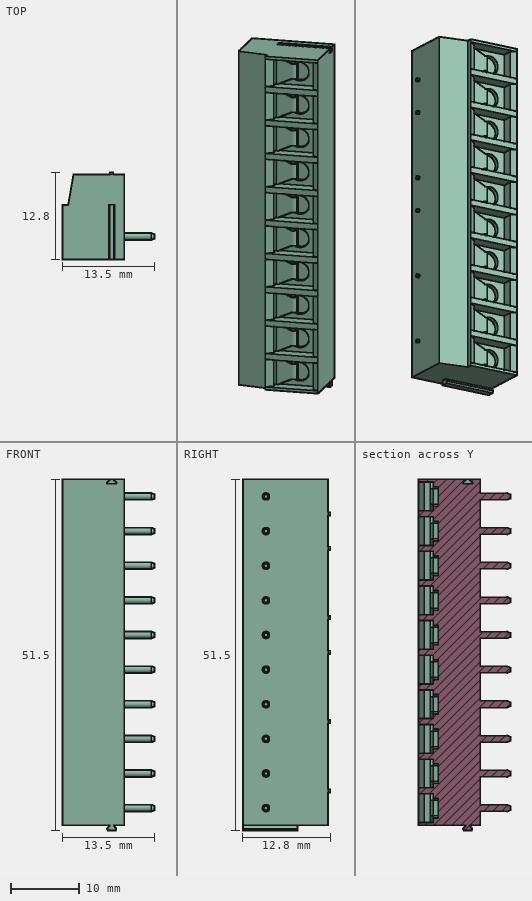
import cadquery as cq
import math

pole_count = 10
body_width = 9.05
body_depth = 12.5
body_height = 50.7
pitch = body_height / pole_count
ledge_y = 8.05
ledge_width = 0.8
slope_run = 0.75

cell_height = 4.15
cell_floor_x = 2.15
cell_bevel_y = 1.1
cell_top_y = ledge_y - cell_bevel_y
cell_front_y = 0.9
cell_front_slope_run = 0.45

hole_y = 3.4
hole_diameter = 2.85
hole_depth = 0.7

guard_thickness = 0.4
guard_face_x = cell_floor_x - guard_thickness
guard_bend_y = 4.45
guard_bend_radius = 0.65
guard_bend_angle = math.radians(70)
guard_tip_width = 2.25

pin_radius = 0.5
pin_end_x = 13.5
pin_tip_length = 0.45
pin_tip_inset = 0.2

dovetail_x = 7.2
rail_height = 0.75
rail_neck_width = 0.55
rail_max_width = 1.4
rail_max_depth = 0.45
rail_end_width = 1.15
groove_depth = 0.65
groove_mouth_width = 0.95
groove_neck_width = 0.6
groove_neck_depth = 0.15
groove_max_width = 1.45
groove_max_depth = 0.5
groove_floor_width = 1.3

nub_walls = (1, 3, 5, 6, 8, 9)
nub_diameter = 0.5
nub_height = 0.3


def make_body():
    """Plain housing, standing along Z, with a sloping upper face behind a ledge."""
    outline = [
        (0, 0),
        (body_width, 0),
        (body_width, body_depth),
        (ledge_width + slope_run, body_depth),
        (ledge_width, ledge_y),
        (0, ledge_y),
    ]
    return cq.Workplane("XY").polyline(outline).close().extrude(body_height)


def make_cell(center_z):
    """Cutter for one entry cell: beveled at its mouth, flat at its floor."""
    profile = [
        (0, ledge_y),
        (ledge_width, cell_top_y),
        (cell_floor_x, cell_top_y),
        (cell_floor_x, cell_front_y),
        (cell_front_slope_run, cell_front_y),
        (0, 0),
    ]
    bottom_z = center_z - cell_height / 2
    return cq.Workplane("XY", origin=(0, 0, bottom_z)).polyline(profile).close().extrude(cell_height)


def make_wire_hole(center_z):
    plane = cq.Workplane("YZ", origin=(cell_floor_x, hole_y, center_z))
    return plane.circle(hole_diameter / 2).extrude(hole_depth)


def make_guard(center_z):
    """Side profile of the tongue, trimmed to its tapering outline."""
    flat_start_y = cell_top_y - guard_thickness

    def bend_point(angle):
        return (
            guard_face_x + guard_bend_radius * (1 - math.cos(angle)),
            guard_bend_y - guard_bend_radius * math.sin(angle),
        )

    tip_x, tip_y = bend_point(guard_bend_angle)
    bend_mid = bend_point(guard_bend_angle / 2)
    foot_x = cell_floor_x + hole_depth
    rounding_mid = (
        cell_floor_x - guard_thickness * math.sqrt(0.5),
        flat_start_y + guard_thickness * math.sqrt(0.5),
    )
    strip = (
        cq.Workplane("XY", origin=(0, 0, center_z - cell_height / 2))
        .moveTo(cell_floor_x, cell_top_y)
        .threePointArc(rounding_mid, (guard_face_x, flat_start_y))
        .lineTo(guard_face_x, guard_bend_y)
        .threePointArc(bend_mid, (tip_x, tip_y))
        .lineTo(foot_x, tip_y)
        .lineTo(foot_x, cell_top_y)
        .close()
        .extrude(cell_height)
    )
    taper = [
        (cell_top_y, -cell_height / 2),
        (flat_start_y, -cell_height / 2),
        (guard_bend_y, -guard_tip_width / 2),
        (tip_y, -guard_tip_width / 2),
        (tip_y, guard_tip_width / 2),
        (guard_bend_y, guard_tip_width / 2),
        (flat_start_y, cell_height / 2),
        (cell_top_y, cell_height / 2),
    ]
    outline = cq.Workplane("YZ", origin=(0, 0, center_z)).polyline(taper).close().extrude(body_width)
    return strip.intersect(outline)


def make_pin(center_z):
    """Round pin along X with a coned tip."""
    shaft_end_x = pin_end_x - pin_tip_length
    half_profile = [
        (body_width, 0),
        (body_width, pin_radius),
        (shaft_end_x, pin_radius),
        (pin_end_x, pin_radius - pin_tip_inset),
        (pin_end_x, 0),
    ]
    pin = cq.Workplane("XY").polyline(half_profile).close().revolve(360, (0, 0, 0), (1, 0, 0))
    return pin.translate((0, hole_y, center_z))


def make_dovetail(top_z, levels):
    """Bar along Y whose section is symmetric, given as (width, depth below top_z) from top to bottom."""
    right_side = [(width / 2, -depth) for width, depth in levels]
    left_side = [(-x, z) for x, z in reversed(right_side)]
    plane = cq.Workplane("XZ", origin=(dovetail_x, 0, top_z))
    return plane.polyline(right_side + left_side).close().extrude(-ledge_y)


def make_nub(center_z):
    plane = cq.Workplane("XZ", origin=(dovetail_x, body_depth, center_z))
    return plane.circle(nub_diameter / 2).extrude(-nub_height)


result = make_body()
for pole in range(pole_count):
    pole_z = (pole + 0.5) * pitch
    result = result.cut(make_cell(pole_z)).cut(make_wire_hole(pole_z))
    result = result.union(make_guard(pole_z)).union(make_pin(pole_z))

groove_levels = [
    (groove_mouth_width, 0),
    (groove_neck_width, groove_neck_depth),
    (groove_max_width, groove_max_depth),
    (groove_floor_width, groove_depth),
]
rail_levels = [
    (rail_neck_width, 0),
    (rail_max_width, rail_max_depth),
    (rail_end_width, rail_height),
]
result = result.cut(make_dovetail(body_height, groove_levels))
result = result.union(make_dovetail(0, rail_levels))

for wall in nub_walls:
    result = result.union(make_nub(wall * pitch))